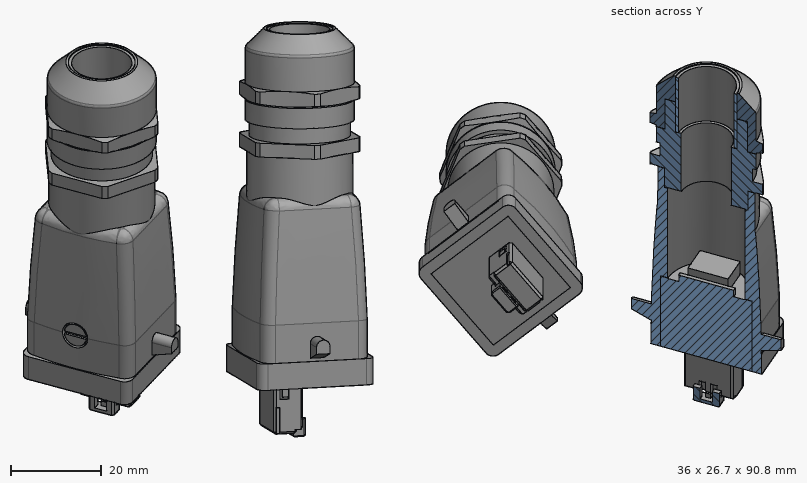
import cadquery as cq
import math

height = 90.8
flange_bottom_z = 12.7
flange_top_z = 18.6
skirt_top_z = 27.2
shoulder_z = 54.8
neck_top_z = 63.9
lower_hex_top_z = 66.95
collar_bottom_z = 70.5
cap_bottom_z = 75.0
upper_hex_bottom_z = 75.3
upper_hex_top_z = 78.8

flange_width = 26.7
flange_corner_radius = 2.0
skirt_half_width = 13.2
skirt_mid_half_width = 12.6
skirt_mid_z = 40.9
shoulder_half_width = 11.7
side_bow = 0.8
depth_reduction = 0.1
corner_radius = 2.7
shoulder_fillet = 2.5
neck_radius = 11.7
peg_span = 36.0
peg_width = 3.1
peg_top_z = 24.2
peg_tip_bottom_z = 21.1
peg_root_bottom_z = 19.35
cavity_width = 21.8
passage_radius = 9.3

hex_flats = 24.1
gland_radius = hex_flats / 2
hex_corner_radius = 13.5
hex_corner_drop = 0.4
gland_groove_radius = 11.2
spigot_radius = 10.0
spigot_depth = 5.45
spigot_top_z = 83.6
gland_bore_radius = 6.0
cap_rim_radius = 7.9
cap_edge_fillet = 0.9
seal_outer_radius = 7.4
seal_bore_radius = 6.6
seal_drop = 0.3

screw_z = 27.2
screw_hole_radius = 3.1
screw_head_radius = 2.7
screw_shank_radius = 1.4
screw_recess = 0.3
screw_front_y = -skirt_half_width + screw_recess
screw_seat_depth = 1.45
screw_shank_length = 4.5
screw_slot_width = 0.7
screw_slot_depth = 0.5

carrier_top_z = 32.7
carrier_wall_height = 1.8
carrier_wall_thickness = 0.8
carrier_wall_width = 13.3

plug_width = 11.8
plug_back_y = 7.6
plug_front_y = 1.0
plug_bottom_z = 1.3
plug_top_z = 25.4
plug_neck_width = 9.6
plug_neck_top_z = 36.3
plug_edge_bevel = 0.5
plug_lip_bevel = 0.45
clip_width = 6.4
clip_front_y = -0.5
clip_base_back_y = 2.4
clip_base_top_z = 2.2
clip_top_z = 4.0
clip_opening_width = 2.9
clip_opening_bottom_z = 1.0
clip_edge_bevel = 0.5
clip_bottom_bevel = 0.3
slit_inner_x = 0.6
slit_outer_x = 2.2
slit_top_z = 5.1
slit_depth = 1.4
window_y = (4.3, 6.3)
window_z = (9.1, 12.2)
window_depth = 0.5
catch_y = (4.3, 5.7)
catch_z = (9.5, 11.8)
catch_recess = 0.2
side_groove_y = (6.4, 7.1)
side_groove_top_z = 7.3
side_groove_depth = 0.4


def box(x, y, z):
    """Box from its (low, high) limits along each axis."""
    return (
        cq.Workplane("XY")
        .box(x[1] - x[0], y[1] - y[0], z[1] - z[0], centered=False)
        .translate((x[0], y[0], z[0]))
    )


def centred(width):
    """Limits of a width split evenly about zero."""
    return (-width / 2, width / 2)


def disc(radius, bottom_z, top_z):
    """Upright cylinder on the main axis between two levels."""
    return cq.Workplane("XY").workplane(offset=bottom_z).circle(radius).extrude(top_z - bottom_z)


def hood_section(half_width, z):
    """Closed wire: flat left and right sides, outward bowed front and back, round corners."""
    half_depth = half_width - depth_reduction
    bow_x = half_width - corner_radius
    bow_y = half_depth - side_bow
    side_y = bow_y - corner_radius
    mid_offset = corner_radius * math.sqrt(0.5)
    mid_x = bow_x + mid_offset
    mid_y = side_y + mid_offset
    return (
        cq.Workplane("XY")
        .workplane(offset=z)
        .moveTo(half_width, -side_y)
        .lineTo(half_width, side_y)
        .threePointArc((mid_x, mid_y), (bow_x, bow_y))
        .threePointArc((0, half_depth), (-bow_x, bow_y))
        .threePointArc((-mid_x, mid_y), (-half_width, side_y))
        .lineTo(-half_width, -side_y)
        .threePointArc((-mid_x, -mid_y), (-bow_x, -bow_y))
        .threePointArc((0, -half_depth), (bow_x, -bow_y))
        .threePointArc((mid_x, -mid_y), (half_width, -side_y))
        .close()
        .val()
    )


def hood_shell():
    """Tapered, gently bulging hood with a rounded shoulder above a straight skirt."""
    sections = [
        hood_section(skirt_half_width, skirt_top_z),
        hood_section(skirt_mid_half_width, skirt_mid_z),
        hood_section(shoulder_half_width, shoulder_z),
    ]
    taper = cq.Workplane(cq.Solid.makeLoft(sections)).faces(">Z").edges().fillet(shoulder_fillet)
    skirt = (
        cq.Workplane(hood_section(skirt_half_width, flange_top_z))
        .toPending()
        .extrude(skirt_top_z - flange_top_z)
    )
    return taper.union(skirt)


def locking_pegs():
    """Round-topped bar across the hood whose two ends are cut sloping underneath."""
    tip_x = peg_span / 2
    side_outline = (
        cq.Workplane("XZ")
        .polyline([
            (-tip_x, peg_top_z),
            (tip_x, peg_top_z),
            (tip_x, peg_tip_bottom_z),
            (skirt_half_width, peg_root_bottom_z),
            (-skirt_half_width, peg_root_bottom_z),
            (-tip_x, peg_tip_bottom_z),
        ])
        .close()
        .extrude(peg_width / 2, both=True)
    )
    round_top_z = peg_top_z - peg_width / 2
    end_outline = (
        cq.Workplane("YZ")
        .moveTo(-peg_width / 2, peg_root_bottom_z)
        .lineTo(peg_width / 2, peg_root_bottom_z)
        .lineTo(peg_width / 2, round_top_z)
        .threePointArc((0, peg_top_z), (-peg_width / 2, round_top_z))
        .close()
        .extrude(tip_x, both=True)
    )
    return side_outline.intersect(end_outline)


def screw_hole():
    """Stepped hole along Y for the screw head and its shank."""
    front = cq.Workplane("XZ", origin=(0, -flange_width / 2, screw_z))
    seat_y = screw_front_y + screw_seat_depth
    head_room = front.circle(screw_hole_radius).extrude(-(seat_y + flange_width / 2))
    return head_room.union(screw_shank())


def make_hood():
    flange = (
        cq.Workplane("XY")
        .workplane(offset=flange_bottom_z)
        .rect(flange_width, flange_width)
        .extrude(flange_top_z - flange_bottom_z)
        .edges("|Z")
        .fillet(flange_corner_radius)
    )
    neck = disc(neck_radius, skirt_mid_z, neck_top_z)
    cavity = box(centred(cavity_width), centred(cavity_width), (flange_bottom_z, carrier_top_z))
    passage = disc(passage_radius, carrier_top_z, neck_top_z)
    socket = disc(spigot_radius, neck_top_z - spigot_depth, neck_top_z)
    hood = hood_shell().union(neck).union(flange).union(locking_pegs())
    return hood.cut(cavity).cut(passage).cut(socket).cut(screw_hole())


def hexagon(bottom_z, top_z):
    """Hexagon with flats facing front and back and corners turned to a cylinder."""
    prism = (
        cq.Workplane("XY")
        .workplane(offset=bottom_z)
        .polygon(6, hex_flats / math.cos(math.radians(30)))
        .extrude(top_z - bottom_z)
    )
    return prism.intersect(disc(hex_corner_radius, bottom_z, top_z))


def make_gland_body():
    body = (
        disc(spigot_radius, neck_top_z - spigot_depth, spigot_top_z)
        .union(hexagon(neck_top_z, lower_hex_top_z))
        .union(disc(gland_groove_radius, lower_hex_top_z, collar_bottom_z))
        .union(disc(gland_radius, collar_bottom_z, cap_bottom_z))
    )
    return (
        body
        .cut(disc(gland_bore_radius, neck_top_z - spigot_depth, cap_bottom_z))
        .cut(disc(seal_outer_radius, cap_bottom_z, spigot_top_z))
    )


def cap_hexagon():
    """Cap collar hexagon with its corners bevelled above and below."""
    bevel_profile = [
        (0, upper_hex_bottom_z),
        (gland_radius, upper_hex_bottom_z),
        (hex_corner_radius, upper_hex_bottom_z + hex_corner_drop),
        (hex_corner_radius, upper_hex_top_z - hex_corner_drop),
        (gland_radius, upper_hex_top_z),
        (0, upper_hex_top_z),
    ]
    bevel = cq.Workplane("XZ").polyline(bevel_profile).close().revolve(360, (0, 0), (0, 1))
    return hexagon(upper_hex_bottom_z, upper_hex_top_z).intersect(bevel)


def make_gland_cap():
    cap = (
        disc(gland_radius, cap_bottom_z, height)
        .faces(">Z")
        .chamfer(gland_radius - cap_rim_radius)
        .edges(cq.selectors.RadiusNthSelector(-1))
        .edges(">Z")
        .fillet(cap_edge_fillet)
        .union(cap_hexagon())
    )
    return cap.cut(disc(spigot_radius, cap_bottom_z, spigot_top_z)).cut(
        disc(seal_outer_radius, spigot_top_z, height)
    )


def make_seal():
    top_z = height - seal_drop
    return disc(seal_outer_radius, cap_bottom_z, top_z).cut(disc(seal_bore_radius, cap_bottom_z, top_z))


def screw_shank():
    seat_y = screw_front_y + screw_seat_depth
    return (
        cq.Workplane("XZ", origin=(0, seat_y, screw_z))
        .circle(screw_shank_radius)
        .extrude(-screw_shank_length)
    )


def make_screw():
    head = (
        cq.Workplane("XZ", origin=(0, screw_front_y, screw_z))
        .circle(screw_head_radius)
        .extrude(-screw_seat_depth)
    )
    slot = box(
        centred(2 * screw_head_radius),
        (screw_front_y, screw_front_y + screw_slot_depth),
        (screw_z - screw_slot_width / 2, screw_z + screw_slot_width / 2),
    )
    return head.cut(slot).union(screw_shank())


def plug_body():
    """Plug block, stepped back behind the clip, with bevelled edges and a narrower neck on top."""
    step = box(
        centred(plug_width), (plug_front_y, clip_base_back_y), (plug_bottom_z, clip_base_top_z)
    )
    block = (
        box(centred(plug_width), (plug_front_y, plug_back_y), (plug_bottom_z, plug_top_z))
        .cut(step)
        .edges("(|Z) or (<Z)")
        .chamfer(plug_edge_bevel)
        .edges("<Y")
        .edges("<Z")
        .chamfer(plug_lip_bevel)
    )
    neck = box(centred(plug_neck_width), (plug_front_y, plug_back_y), (plug_top_z, plug_neck_top_z))
    return block.union(neck)


def plug_clip():
    """U-shaped latch turned up in front of the plug's lower edge."""
    base = box(centred(clip_width), (clip_front_y, clip_base_back_y), (0, clip_base_top_z))
    upright = box(centred(clip_width), (clip_front_y, plug_front_y), (0, clip_top_z))
    opening = box(
        centred(clip_opening_width), (clip_front_y, plug_front_y), (clip_opening_bottom_z, clip_top_z)
    )
    return (
        base
        .union(upright)
        .edges("|Z and <Y")
        .chamfer(clip_edge_bevel)
        .edges("<Z")
        .chamfer(clip_bottom_bevel)
        .cut(opening)
    )


def side_features(side):
    """Cuts in one side of the plug: a window with a raised catch, and a groove at the bottom."""
    face_x = side * plug_width / 2

    def depth(start, end):
        return sorted((face_x - side * start, face_x - side * end))

    window = box(depth(0, window_depth), window_y, window_z)
    catch = box(depth(catch_recess, window_depth), catch_y, catch_z)
    groove = box(depth(0, side_groove_depth), side_groove_y, (plug_bottom_z, side_groove_top_z))
    return window.cut(catch).union(groove)


def make_plug():
    plug = plug_body().union(plug_clip())
    for side in (-1, 1):
        slit_x = sorted((side * slit_inner_x, side * slit_outer_x))
        slit_y = (plug_front_y, plug_front_y + slit_depth)
        slit = box(slit_x, slit_y, (clip_opening_bottom_z, slit_top_z))
        plug = plug.cut(slit).cut(side_features(side))
    return plug


def make_carrier(plug):
    """Block filling the hood cavity, pierced by the plug and the screw."""
    block = box(centred(cavity_width), centred(cavity_width), (flange_bottom_z, carrier_top_z))
    wall = box(
        centred(carrier_wall_width),
        (0, carrier_wall_thickness),
        (carrier_top_z, carrier_top_z + carrier_wall_height),
    )
    return block.union(wall).cut(plug).cut(screw_shank())


hood = make_hood()
gland_body = make_gland_body()
gland_cap = make_gland_cap()
seal = make_seal()
screw = make_screw()
plug = make_plug()
carrier = make_carrier(plug)

result = cq.Compound.makeCompound([
    hood.val(),
    gland_body.val(),
    gland_cap.val(),
    seal.val(),
    screw.val(),
    plug.val(),
    carrier.val(),
])